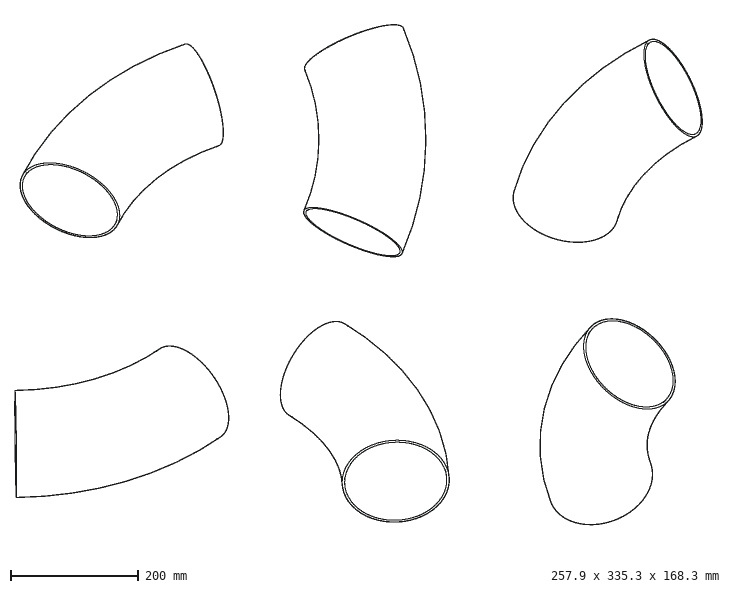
import cadquery as cq
import math

overall_length = 335.3
outer_diameter = 168.3
wall = 4.0
bend_angle = 45.0

outer_radius = outer_diameter / 2
inner_radius = outer_radius - wall
bend_radius = overall_length / math.sin(math.radians(bend_angle)) - outer_radius

result = (
    cq.Workplane("XZ")
    .circle(outer_radius)
    .circle(inner_radius)
    .revolve(bend_angle, (bend_radius, 0, 0), (bend_radius, -1, 0))
)